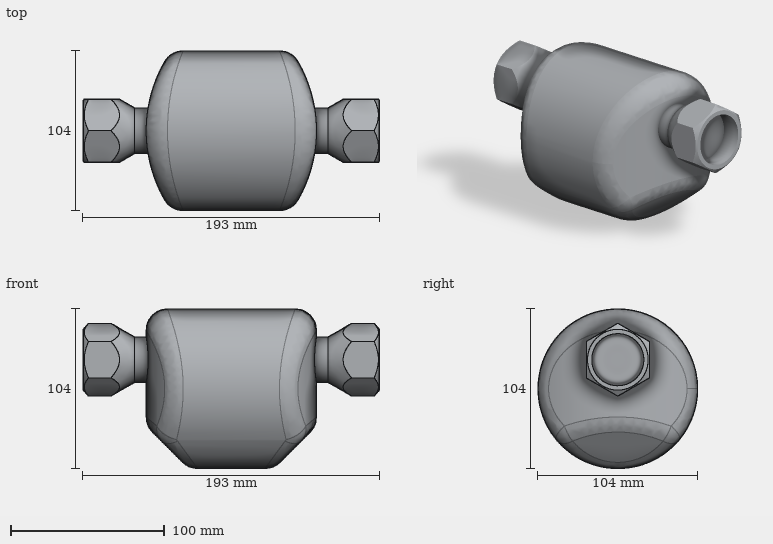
import cadquery as cq
import math

overall_length = 193.0
body_diameter = 104.0
body_length = 111.0
end_face_radius = 90.0
port_height = 19.0

slope_start_z = -24.1
slope_angle = 45.0
edge_fillet = 13.9

nut_across_flats = 41.1
neck_diameter = 30.0
bore_diameter = 34.0
bore_depth = 13.5
nut_face_diameter = 39.5
nut_chamfer_length = 3.5
nut_corner_end = 18.1
tail_length = 33.4

body_radius = body_diameter / 2
half_body = body_length / 2
half_length = overall_length / 2
nut_across_corners = nut_across_flats / math.cos(math.radians(30))


def make_body():
    """Horizontal cylinder with bulged ends and sloped lower flats, all edges rounded."""
    cylinder = cq.Workplane("YZ").circle(body_radius).extrude(half_body, both=True)

    sagitta = end_face_radius - math.sqrt(end_face_radius**2 - body_radius**2)
    rim_x = half_body - sagitta
    bulge = (
        cq.Workplane("XY")
        .moveTo(-rim_x, -body_radius)
        .lineTo(rim_x, -body_radius)
        .threePointArc((half_body, 0), (rim_x, body_radius))
        .lineTo(-rim_x, body_radius)
        .threePointArc((-half_body, 0), (-rim_x, -body_radius))
        .close()
        .extrude(body_radius, both=True)
    )

    slope_drop = slope_start_z + body_radius
    bottom_x = half_body - slope_drop / math.tan(math.radians(slope_angle))
    side_outline = (
        cq.Workplane("XZ")
        .polyline([
            (-half_body, body_radius),
            (half_body, body_radius),
            (half_body, slope_start_z),
            (bottom_x, -body_radius),
            (-bottom_x, -body_radius),
            (-half_body, slope_start_z),
        ])
        .close()
        .extrude(body_radius, both=True)
    )
    body = cylinder.intersect(bulge).intersect(side_outline)
    return body.edges("not |X").fillet(edge_fillet)


def make_left_fitting():
    """Nut, conical tail and neck at the -X end, with a blind bore in the nut face."""
    nut_end = -half_length
    corner_radius = nut_across_corners / 2
    neck_radius = neck_diameter / 2

    turned = (
        cq.Workplane("XY")
        .polyline([
            (nut_end, 0),
            (nut_end, nut_face_diameter / 2),
            (nut_end + nut_chamfer_length, corner_radius),
            (nut_end + nut_corner_end, corner_radius),
            (nut_end + tail_length, neck_radius),
            (0, neck_radius),
            (0, 0),
        ])
        .close()
        .revolve(360, (0, 0, 0), (1, 0, 0))
    )
    hexagon = (
        cq.Workplane("YZ", origin=(nut_end, 0, 0))
        .transformed(rotate=(0, 0, 90))
        .polygon(6, nut_across_corners)
        .extrude(half_length)
    )
    bore = cq.Workplane("YZ", origin=(nut_end, 0, 0)).circle(bore_diameter / 2).extrude(bore_depth)
    return turned.intersect(hexagon).cut(bore).translate((0, 0, port_height))


left_fitting = make_left_fitting()
right_fitting = left_fitting.mirror("YZ")
result = make_body().union(left_fitting).union(right_fitting)